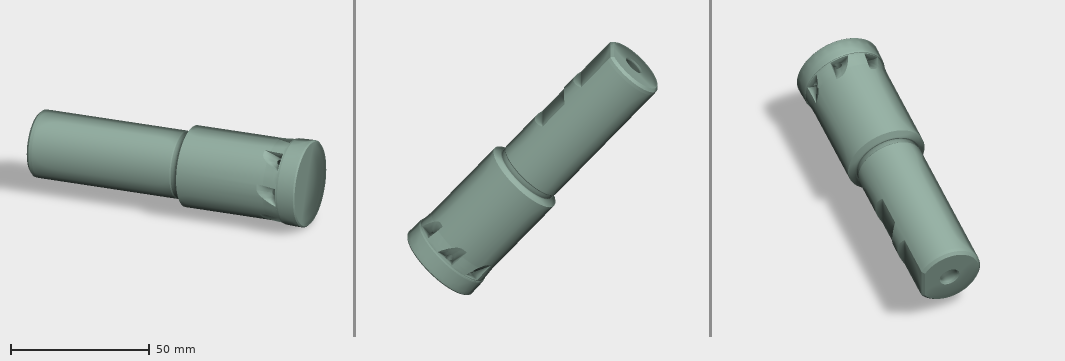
import cadquery as cq
import math

LENGTH = 106.0

SHANK_R = 12.5
SHANK_LENGTH = 56.0
SHANK_CHAMFER = 1.0
LEAD_R = 12.4
LEAD_END = 2.3
FLAT_Y = 10.55
FLAT_DEPTH = SHANK_R - FLAT_Y
END_FLAT_LENGTH = 17.0
MAIN_FLAT_CENTRE = 32.0
MAIN_FLAT_LENGTH = 12.0

NECK_R = 12.1
NECK_CHAMFER = SHANK_R - NECK_R
NECK_END = 58.25
SHOULDER_R = 12.6
BODY_R = 15.0
SHOULDER_ANGLE = 60.0
SHOULDER_LENGTH = (BODY_R - SHOULDER_R) / math.tan(math.radians(SHOULDER_ANGLE))

FLARE_START = 93.3
FLARE_MIDDLE = 96.45
FLARE_MIDDLE_R = 15.25
HEAD_START = 98.7
FLARE_END_R = 15.4
HEAD_STEP_R = 15.65
HEAD_STEP_CONE_END = 99.3
HEAD_BACK_R = 15.8
HEAD_R = 16.0
HEAD_CHAMFER = 0.5
HEAD_CROWN_X = (HEAD_STEP_CONE_END + LENGTH - HEAD_CHAMFER) / 2
HEAD_CROWN_R = HEAD_R - (HEAD_R - HEAD_BACK_R) / 4

POCKET_COUNT = 7
POCKET_START = 91.0
POCKET_END = 98.35
TROUGH_WALL_CORNER = (14.63, 3.2)
TROUGH_FLOOR_CORNER = (14.97, 1.0)
TROUGH_RUN = POCKET_END - POCKET_START
TROUGH_DROP = 3.0
TROUGH_DRIFT = 1.35
WALL_LEAN = 11.2
FLANK_R = 6.0
TROUGH_SIDE = 12.0
SWEEP_FACTOR = 2

BORE_R = 3.3
BORE_CHAMFER = 0.55
BORE_DEPTH = 88.0
DRILL_POINT_ANGLE = 118.0
DUCT_R = 1.25
DUCT_START = (88.0, 0.0, 0.0)
DUCT_END = (97.6, 12.5, 0.2)
DUCT_OVERRUN = 1.0


def make_body():
    """Turned blank: shank, neck, shoulder, flared body and head ring."""
    shank_and_body = [
        (0, 0),
        (0, LEAD_R - SHANK_CHAMFER),
        (SHANK_CHAMFER, LEAD_R),
        (LEAD_END, SHANK_R),
        (SHANK_LENGTH, SHANK_R),
        (SHANK_LENGTH + NECK_CHAMFER, NECK_R),
        (NECK_END, NECK_R),
        (NECK_END, SHOULDER_R),
        (NECK_END + SHOULDER_LENGTH, BODY_R),
        (FLARE_START, BODY_R),
        (FLARE_MIDDLE, FLARE_MIDDLE_R),
        (HEAD_START, FLARE_END_R),
        (HEAD_START, HEAD_STEP_R),
        (HEAD_STEP_CONE_END, HEAD_BACK_R),
    ]
    profile = (
        cq.Workplane("XZ")
        .polyline(shank_and_body)
        .threePointArc((HEAD_CROWN_X, HEAD_CROWN_R), (LENGTH - HEAD_CHAMFER, HEAD_R))
        .lineTo(LENGTH, HEAD_R - HEAD_CHAMFER)
        .lineTo(LENGTH, 0)
        .close()
    )
    return profile.revolve(360, (0, 0, 0), (1, 0, 0))


def make_flat_cutters():
    """End flat with a chamfered edge, and the main clamping flat, both with 45 degree run-outs."""
    end_flat = [
        (0, FLAT_Y - SHANK_CHAMFER),
        (SHANK_CHAMFER, FLAT_Y),
        (END_FLAT_LENGTH, FLAT_Y),
        (END_FLAT_LENGTH + 2 * FLAT_DEPTH, FLAT_Y + 2 * FLAT_DEPTH),
        (0, FLAT_Y + 2 * FLAT_DEPTH),
    ]
    half = MAIN_FLAT_LENGTH / 2
    main_flat = [
        (MAIN_FLAT_CENTRE - half, FLAT_Y),
        (MAIN_FLAT_CENTRE + half, FLAT_Y),
        (MAIN_FLAT_CENTRE + half + FLAT_DEPTH, SHANK_R),
        (MAIN_FLAT_CENTRE - half - FLAT_DEPTH, SHANK_R),
    ]
    cutters = cq.Workplane("XY")
    for outline in (end_flat, main_flat):
        cutters = cutters.add(cq.Workplane("XY").polyline(outline).close().extrude(SHANK_R, both=True))
    return cutters


def make_bore():
    """Coolant bore from the shank end, with an edge chamfer and a drill point."""
    point_length = BORE_R / math.tan(math.radians(DRILL_POINT_ANGLE / 2))
    profile = [
        (0, 0),
        (0, BORE_R + BORE_CHAMFER),
        (BORE_CHAMFER, BORE_R),
        (BORE_DEPTH, BORE_R),
        (BORE_DEPTH + point_length, 0),
    ]
    return cq.Workplane("XZ").polyline(profile).close().revolve(360, (0, 0, 0), (1, 0, 0))


def tool_point(along, outward, sideways):
    """Place a pocket coordinate in space; pockets are built on the -Y side."""
    return cq.Vector(along, -outward, sideways)


def make_pocket():
    """One trough that deepens towards the head and stops just behind it."""
    wall_out, wall_side = TROUGH_WALL_CORNER
    floor_out, floor_side = TROUGH_FLOOR_CORNER
    wall_angle = math.radians(WALL_LEAN)
    wall_top = (
        wall_out + TROUGH_SIDE * math.cos(wall_angle),
        wall_side + TROUGH_SIDE * math.sin(wall_angle),
    )

    floor_angle = math.atan2(floor_side - wall_side, floor_out - wall_out)
    centre_angle = floor_angle + math.pi / 2
    arc_centre_out = floor_out + FLANK_R * math.cos(centre_angle)
    arc_centre_side = floor_side + FLANK_R * math.sin(centre_angle)

    def flank_point(turn):
        angle = floor_angle - math.pi / 2 + turn
        return (arc_centre_out + FLANK_R * math.cos(angle), arc_centre_side + FLANK_R * math.sin(angle))

    section_plane = cq.Plane(
        origin=tool_point(POCKET_END, -TROUGH_DROP, -TROUGH_DRIFT),
        xDir=tool_point(0, 1, 0),
        normal=(-1, 0, 0),
    )
    section = (
        cq.Workplane(section_plane)
        .polyline([wall_top, TROUGH_WALL_CORNER, TROUGH_FLOOR_CORNER])
        .threePointArc(flank_point(math.pi / 4), flank_point(math.pi / 2))
        .close()
    )
    sweep = tool_point(-TROUGH_RUN, TROUGH_DROP, TROUGH_DRIFT) * SWEEP_FACTOR
    return cq.Solid.extrudeLinear(section.val(), [], sweep)


def make_duct():
    """One coolant duct from the bore into a pocket."""
    start = tool_point(*DUCT_START)
    direction = tool_point(*DUCT_END) - start
    return cq.Solid.makeCylinder(DUCT_R, direction.Length + DUCT_OVERRUN, start, direction)


AXIS_START = cq.Vector(0, 0, 0)
AXIS_END = cq.Vector(1, 0, 0)

result = make_body()
for flat in make_flat_cutters().vals():
    result = result.cut(cq.Workplane(flat))
result = result.cut(make_bore())
pocket = make_pocket()
duct = make_duct()
for index in range(POCKET_COUNT):
    turn = index * 360 / POCKET_COUNT
    for cutter in (pocket, duct):
        result = result.cut(cq.Workplane(cutter.rotate(AXIS_START, AXIS_END, turn)))